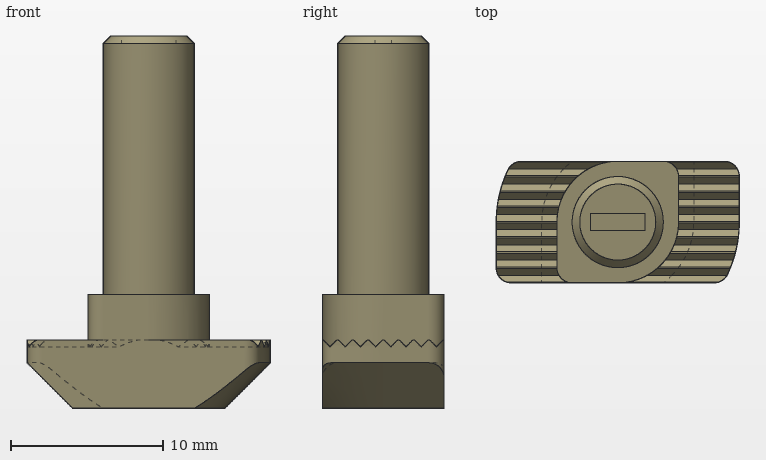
import cadquery as cq
import math

head_length = 16.0
width = 8.0
head_height = 4.5
bevel_height = 3.0
corner_radius = 1.0

collar_length = 8.0
collar_height = 3.0
shank_diameter = 6.0
shank_length = 17.0
shank_chamfer = 0.5

tooth_pitch = 1.0
tooth_land = 0.1

slot_length = 3.6
slot_width = 1.1
slot_depth = 0.5

half_width = width / 2
head_radius = head_length / 2
collar_top = head_height + collar_height
total_height = collar_top + shank_length

groove_half_width = (tooth_pitch - tooth_land) / 2
groove_depth = groove_half_width


def flat_reach(sweep_radius):
    """Distance from the YZ plane at which the swept arc meets the flat long side."""
    return math.sqrt(sweep_radius ** 2 - half_width ** 2)


def make_swept_block(length, height):
    """Rectangular block with its -X+Y and +X-Y corners swept to an arc about Z."""
    radius = length / 2
    reach = flat_reach(radius)
    arc_middle_angle = math.asin(half_width / radius) / 2
    middle_x = radius * math.cos(arc_middle_angle)
    middle_y = radius * math.sin(arc_middle_angle)
    return (
        cq.Workplane("XY")
        .moveTo(radius, half_width)
        .lineTo(-reach, half_width)
        .threePointArc((-middle_x, middle_y), (-radius, 0))
        .lineTo(-radius, -half_width)
        .lineTo(reach, -half_width)
        .threePointArc((middle_x, -middle_y), (radius, 0))
        .close()
        .extrude(height)
    )


def round_corner_pair(block, corner_x, corner_y, height):
    """Fillet the vertical edge at a corner and the edge diametrically opposite."""
    for side in (1, -1):
        edge_middle = (side * corner_x, side * corner_y, height / 2)
        edge = cq.selectors.NearestToPointSelector(edge_middle)
        block = block.edges("|Z").edges(edge).fillet(corner_radius)
    return block


def make_bevel_envelope():
    """45 degree bevel: conical under the swept corners, flat under the square ones."""
    bottom_reach = head_radius - bevel_height
    top_reach = bottom_reach + head_height
    half_section = [(0, 0), (bottom_reach, 0), (top_reach, head_height), (0, head_height)]
    cone = cq.Workplane("XZ").polyline(half_section).close().revolve(360, (0, 0, 0), (0, 1, 0))
    flat_quarter = cq.Workplane("XZ").polyline(half_section).close().extrude(-half_width)
    opposite_quarter = flat_quarter.rotate((0, 0, 0), (0, 0, 1), 180)
    return cone.union(flat_quarter).union(opposite_quarter)


def cut_serrations(head):
    """Cut a V groove midway between each pair of neighbouring tooth crests."""
    groove_count = round(width / tooth_pitch)
    for index in range(groove_count):
        groove_y = -half_width + (index + 0.5) * tooth_pitch
        groove = (
            cq.Workplane("YZ", origin=(-head_radius, groove_y, head_height))
            .polyline([(-groove_half_width, 0), (0, -groove_depth), (groove_half_width, 0)])
            .close()
            .extrude(head_length)
        )
        head = head.cut(groove)
    return head


def make_head():
    head = make_swept_block(head_length, head_height)
    head = round_corner_pair(head, head_radius, half_width, head_height)
    head = round_corner_pair(head, -flat_reach(head_radius), half_width, head_height)
    head = head.intersect(make_bevel_envelope())
    return cut_serrations(head)


def make_collar():
    """Collar reaching down to the top of the bevel, below the grooves, so the teeth stop against it."""
    height = collar_top - bevel_height
    collar = make_swept_block(collar_length, height)
    collar = round_corner_pair(collar, collar_length / 2, half_width, height)
    return collar.translate((0, 0, bevel_height))


def make_shank():
    return (
        cq.Workplane("XY", origin=(0, 0, collar_top))
        .circle(shank_diameter / 2)
        .extrude(shank_length)
        .faces(">Z")
        .chamfer(shank_chamfer)
    )


def make_slot():
    return cq.Workplane("XY", origin=(0, 0, total_height - slot_depth)).box(
        slot_length, slot_width, slot_depth, centered=(True, True, False)
    )


result = make_head().union(make_collar()).union(make_shank()).cut(make_slot())